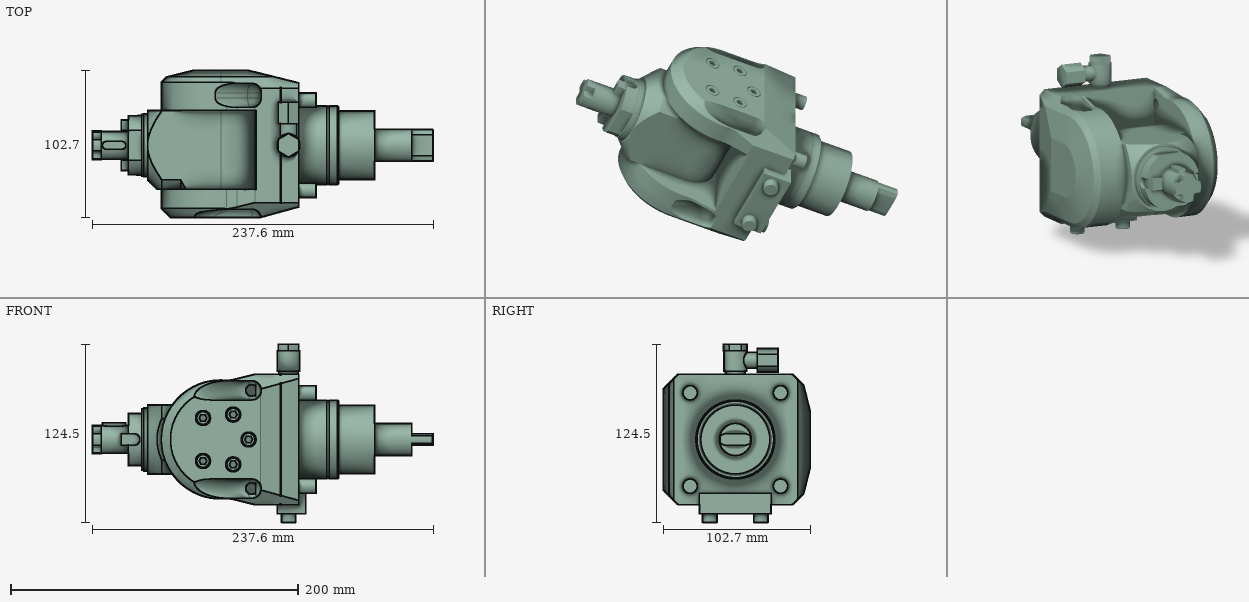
import cadquery as cq
import math


disc_radius = 41.45
yoke_half_height = 45.5
flank_start = 3.7
flank_blend_end = 11.3
flank_end = 23.7
flank_slope = 0.25
flank_blend_radius = 23.0
yoke_end = 54.5
front_face = -50.35
cap_face = 52.35
edge_chamfer_reach = 85.4
cap_flat_half_width = 19.0
cap_slope = 0.25
front_flat_end = 27.4
front_face_at_end = -42.9
pocket_front = -30.7
pocket_back = 24.4
pocket_end = 24.4
seam_x = 41.7
seam_width = 0.6
seam_depth = 0.4

channel_slope = 0.5
channel_radius = 6.7
channel_end_x = 21.5
channel_depth_centre = 36.1
front_channel_z = 34.2
top_channel_y = 34.8
top_channel_spread = 3.4
channel_reach = 90.0

screw_circle_radius = 19.4
screw_angles = (0, 63.5, 129.5, -129.5, -63.5)
screw_recess_radius = 5.2
screw_recess_depth = 1.0
screw_head_radius = 4.4
screw_hex_size = 5.5
screw_hex_depth = 2.5

housing_half_height = 24.1
nose_x = -51.0
turned_radius = 34.0
turned_end = -28.0
turned_flare = (-23.0, 40.5)
housing_full_radius = 60.0

collar_start = -55.1
collar_radius = 22.0
collar_lip_radius = 21.6
collar_lip_end = -53.5
flange_start = -64.4
flange_radius = 21.0
flange_half_height = 18.2
drive_key_start = -69.5
drive_key_end = -56.3
drive_key_width = 8.0
drive_key_inner = 10.2
drive_key_outer = 17.7
shaft_radius = 9.75
head_start = -89.5
head_end = -83.3
head_radius = 10.0
cross_width = 7.8
cross_fillet = 1.4
shaft_key_start = -82.5
shaft_key_end = -66.1
shaft_key_width = 5.4
shaft_key_top = 11.7

pilot_radius = 27.5
pilot_end = 82.1
pilot_chamfer = 0.8
ring_groove_start = 74.0
ring_groove_width = 1.7
ring_groove_depth = 0.4
journal_radius = 24.0
journal_end = 107.3
drive_radius = 11.2
drive_end = 133.1
tang_end = 148.05
tang_half_thickness = 4.0
tang_edge_half_thickness = 2.6
tang_flat_half_width = 7.4
tang_tip_chamfer = 0.6

bolt_radius = 5.0
bolt_y = 31.5
bolt_z = 32.5
bolt_length = 12.0
plate_start = 39.3
plate_end = 59.4
plate_half_width = 25.0
plate_bottom = -51.9
plate_lip_top = -37.5
plate_screw_x = 47.3
plate_screw_y = 17.8
plate_screw_radius = 5.1
plate_screw_bottom = -58.0
plate_screw_chamfer = 0.5
fitting_x = 47.2
fitting_neck_radius = 6.9
fitting_neck_top = 47.6
fitting_radius = 8.0
fitting_body_top = 61.8
fitting_top = 66.5
hex_across_corners = 16.6
branch_z = 55.2
branch_radius = 5.6
branch_hex_start = 15.1
branch_hex_end = 29.9


def bar_x(radius, start, end):
    """Round bar along X between two X positions."""
    return cq.Workplane("YZ").workplane(offset=start).circle(radius).extrude(end - start)


def box_between(x_range, y_range, z_range):
    """Box given by its lowest and highest X, Y and Z."""
    low, high = zip(x_range, y_range, z_range)
    return cq.Workplane(cq.Solid.makeBox(*[b - a for a, b in zip(low, high)], pnt=cq.Vector(*low)))


def arm_outline():
    """Side outline of the arms, a disc running into rising flanks, extruded over the full width."""
    start_z = math.sqrt(disc_radius**2 - flank_start**2)
    blend_z = yoke_half_height - flank_slope * (flank_end - flank_blend_end)
    return (
        cq.Workplane("XZ", origin=(0, cap_face, 0))
        .moveTo(flank_start, -start_z)
        .threePointArc((-disc_radius, 0), (flank_start, start_z))
        .radiusArc((flank_blend_end, blend_z), -flank_blend_radius)
        .lineTo(flank_end, yoke_half_height)
        .lineTo(yoke_end, yoke_half_height)
        .lineTo(yoke_end, -yoke_half_height)
        .lineTo(flank_end, -yoke_half_height)
        .lineTo(flank_blend_end, -blend_z)
        .radiusArc((flank_start, -start_z), -flank_blend_radius)
        .close()
        .extrude(cap_face - front_face)
    )


def edge_chamfer_envelope():
    """Double cone about Y joined to a diamond bar along X: leaves 45 degree outer edges."""
    reach = edge_chamfer_reach
    half_diamond = cq.Workplane("XY").polyline([(0, -reach), (reach, 0), (0, reach)]).close()
    double_cone = half_diamond.revolve(360, (0, 0, 0), (0, 1, 0))
    diamond_bar = (
        cq.Workplane("YZ")
        .polyline([(-reach, 0), (0, -reach), (reach, 0), (0, reach)])
        .close()
        .extrude(yoke_end)
    )
    return double_cone.union(diamond_bar)


def cap_envelope():
    """Dome of the +Y arm: shallow cone about Y on the disc, ridge along X towards the plate."""
    rim = 2 * yoke_end
    rim_y = cap_face - cap_slope * (rim - cap_flat_half_width)
    half_section = [
        (0, front_face),
        (rim, front_face),
        (rim, rim_y),
        (cap_flat_half_width, cap_face),
        (0, cap_face),
    ]
    cone = cq.Workplane("XY").polyline(half_section).close().revolve(360, (0, 0, 0), (0, 1, 0))
    upper_ridge = cq.Workplane("YZ").polyline([(y, z) for z, y in half_section]).close().extrude(yoke_end)
    return cone.union(upper_ridge).union(upper_ridge.mirror("XY"))


def sloped_face_cut(start_x, face_y, end_y):
    """Wedge that slopes an outer arm face inwards from start_x to end_y at the plate end."""
    return (
        cq.Workplane("XY", origin=(0, 0, -yoke_half_height))
        .polyline([(start_x, face_y), (yoke_end, end_y), (yoke_end, face_y)])
        .close()
        .extrude(2 * yoke_half_height)
    )


def seam_groove():
    """Fine groove along the plate joint in the -Y face, the top and the bottom."""
    seam = (seam_x - seam_width / 2, seam_x + seam_width / 2)
    fall_share = (seam_x - front_flat_end) / (yoke_end - front_flat_end)
    face_at_seam = front_face + fall_share * (front_face_at_end - front_face)
    floor_z = yoke_half_height - seam_depth
    around = box_between(seam, (front_face, cap_face), (-yoke_half_height, yoke_half_height))
    core = box_between(seam, (face_at_seam + seam_depth, cap_face), (-floor_z, floor_z))
    return around.cut(core)


def access_channel(centre_y, spread):
    """Ball-ended channel opening towards +Z and rising towards -X, widened in Y by `spread`."""
    radius = channel_radius
    end_x = channel_end_x
    end_z = channel_depth_centre
    slant = math.hypot(1, channel_slope)
    sides = (centre_y - spread / 2, centre_y + spread / 2)

    def side_plane(y):
        return cq.Workplane("XZ", origin=(0, y, 0))

    rising_end = (end_x - channel_reach, end_z + channel_slope * channel_reach)
    upper_end = (end_x, end_z + channel_reach)
    channel = (
        side_plane(sides[1] + radius)
        .polyline([(end_x, end_z), rising_end, upper_end])
        .close()
        .extrude(spread + 2 * radius)
    )
    for y in sides:
        end = cq.Vector(end_x, y, end_z)
        direction = cq.Vector(-1, 0, channel_slope)
        rising_bar = cq.Solid.makeCylinder(radius, slant * channel_reach, end, direction)
        upright_bar = cq.Solid.makeCylinder(radius, channel_reach, end)
        ball = cq.Workplane("XY", origin=end.toTuple()).sphere(radius)
        channel = channel.union(cq.Workplane(rising_bar)).union(cq.Workplane(upright_bar)).union(ball)
    if spread > 0:
        drop_x = -radius * channel_slope / slant
        drop_z = -radius / slant
        floor_points = [
            (end_x, end_z),
            (end_x + drop_x, end_z + drop_z),
            (rising_end[0] + drop_x, rising_end[1] + drop_z),
            upper_end,
            (end_x + radius, upper_end[1]),
            (end_x + radius, end_z),
        ]
        flat_floor = side_plane(sides[1]).polyline(floor_points).close().extrude(spread)
        round_end = side_plane(sides[1]).center(end_x, end_z).circle(radius).extrude(spread)
        channel = channel.union(flat_floor).union(round_end)
    return channel


def arm_screw(angle):
    """Recess ring and hexagon socket of one screw in the -Y face."""
    x = screw_circle_radius * math.cos(math.radians(angle))
    z = screw_circle_radius * math.sin(math.radians(angle))
    face = cq.Workplane("XZ", origin=(x, front_face, z))
    ring = face.circle(screw_recess_radius).circle(screw_head_radius).extrude(-screw_recess_depth)
    socket = face.polygon(6, screw_hex_size).extrude(-screw_hex_depth)
    return ring.union(socket)


def make_yoke():
    yoke = arm_outline().intersect(edge_chamfer_envelope()).intersect(cap_envelope())
    cap_face_at_end = cap_face - cap_slope * (yoke_end - cap_flat_half_width)
    yoke = yoke.cut(sloped_face_cut(front_flat_end, front_face, front_face_at_end))
    yoke = yoke.cut(sloped_face_cut(cap_flat_half_width, cap_face, cap_face_at_end))
    yoke = yoke.cut(seam_groove())
    yoke = yoke.cut(box_between(
        (-disc_radius, pocket_end), (pocket_front, pocket_back), (-yoke_half_height, yoke_half_height)
    ))
    top_channel = access_channel(top_channel_y, top_channel_spread)
    front_channel = access_channel(-front_channel_z, 0).rotate((0, 0, 0), (1, 0, 0), 90)
    for channel in (top_channel, front_channel):
        yoke = yoke.cut(channel).cut(channel.mirror("XY"))
    for angle in screw_angles:
        yoke = yoke.cut(arm_screw(angle))
    return yoke


def make_housing():
    """Spindle housing filling the pocket, round about the swivel axis and turned at the nose."""
    profile = (
        cq.Workplane("XZ", origin=(0, pocket_back, 0))
        .moveTo(nose_x, -housing_half_height)
        .lineTo(0, -housing_half_height)
        .threePointArc((housing_half_height, 0), (0, housing_half_height))
        .lineTo(nose_x, housing_half_height)
        .close()
        .extrude(pocket_back - pocket_front)
    )
    cone_end = nose_x + turned_radius - housing_half_height
    turned = (
        cq.Workplane("XY")
        .polyline([
            (nose_x, 0),
            (nose_x, housing_half_height),
            (cone_end, turned_radius),
            (turned_end, turned_radius),
            turned_flare,
            (turned_flare[0], housing_full_radius),
            (housing_half_height, housing_full_radius),
            (housing_half_height, 0),
        ])
        .close()
        .revolve(360, (0, 0, 0), (1, 0, 0))
    )
    return profile.intersect(turned)


def drive_key_slot():
    """Radial slot for a drive key on the +Y side of the flange, round at its inner end."""
    radius = drive_key_width / 2
    centre_x = drive_key_end - radius
    plan = cq.Workplane("XZ", origin=(0, flange_radius, 0))
    straight = plan.moveTo(drive_key_start, -radius).lineTo(centre_x, -radius)
    rounded = straight.threePointArc((drive_key_end, 0), (centre_x, radius))
    return rounded.lineTo(drive_key_start, radius).close().extrude(flange_radius - drive_key_inner)


def make_output_end():
    """Stepped collar, flange with two drive keys, and keyed shaft with a cross-shaped head."""
    collar = bar_x(collar_radius, collar_lip_end, nose_x)
    collar = collar.union(bar_x(collar_lip_radius, collar_start, collar_lip_end))
    flats = box_between(
        (flange_start, collar_start), (-flange_radius, flange_radius),
        (-flange_half_height, flange_half_height),
    )
    flange = bar_x(flange_radius, flange_start, collar_start).intersect(flats)
    slot = drive_key_slot()
    key = slot.intersect(box_between(
        (drive_key_start, drive_key_end), (drive_key_inner, drive_key_outer),
        (-drive_key_width, drive_key_width),
    ))
    for cutter, drive_key in ((slot, key), (slot.mirror("XZ"), key.mirror("XZ"))):
        flange = flange.cut(cutter).union(drive_key)

    shaft = bar_x(shaft_radius, head_end, flange_start)
    shaft_key = (
        cq.Workplane("XY", origin=((shaft_key_start + shaft_key_end) / 2, 0, 0))
        .slot2D(shaft_key_end - shaft_key_start, shaft_key_width)
        .extrude(shaft_key_top)
    )
    cross = cq.Workplane("YZ").workplane(offset=head_start).rect(4 * head_radius, cross_width)
    cross = cross.extrude(head_end - head_start)
    cross = cross.union(cross.rotate((0, 0, 0), (1, 0, 0), 90)).edges("|X").fillet(cross_fillet)
    head = bar_x(head_radius, head_start, head_end).intersect(cross)
    return collar.union(flange).union(shaft).union(shaft_key).union(head)


def make_machine_end():
    """Pilot with a ring groove, journal and drive shaft with a flat tang."""
    pilot = bar_x(pilot_radius, yoke_end, pilot_end).faces(">X").chamfer(pilot_chamfer)
    groove_end = ring_groove_start + ring_groove_width
    groove = bar_x(pilot_radius, ring_groove_start, groove_end)
    groove = groove.cut(bar_x(pilot_radius - ring_groove_depth, ring_groove_start, groove_end))
    journal = bar_x(journal_radius, pilot_end, journal_end)
    drive = bar_x(drive_radius, journal_end, drive_end)
    tang_section = [
        (-drive_radius, -tang_edge_half_thickness),
        (-tang_flat_half_width, -tang_half_thickness),
        (tang_flat_half_width, -tang_half_thickness),
        (drive_radius, -tang_edge_half_thickness),
        (drive_radius, tang_edge_half_thickness),
        (tang_flat_half_width, tang_half_thickness),
        (-tang_flat_half_width, tang_half_thickness),
        (-drive_radius, tang_edge_half_thickness),
    ]
    tang = cq.Workplane("YZ").workplane(offset=drive_end).polyline(tang_section).close()
    tang = tang.extrude(tang_end - drive_end)
    rounding = bar_x(drive_radius, drive_end, tang_end).faces(">X").chamfer(tang_tip_chamfer)
    tang = tang.intersect(rounding)
    return pilot.cut(groove).union(journal).union(drive).union(tang)


def make_mounting_bolts():
    corners = [(y, z) for y in (-bolt_y, bolt_y) for z in (-bolt_z, bolt_z)]
    return cq.Workplane("YZ").workplane(offset=yoke_end).pushPoints(corners).circle(bolt_radius).extrude(bolt_length)


def make_locating_plate():
    """L-shaped plate under the yoke, held by two screws from below."""
    sides = (-plate_half_width, plate_half_width)
    plate = box_between((plate_start, plate_end), sides, (plate_bottom, -yoke_half_height))
    lip = box_between((yoke_end, plate_end), sides, (plate_bottom, plate_lip_top))
    screws = (
        cq.Workplane("XY", origin=(plate_screw_x, 0, plate_screw_bottom))
        .pushPoints([(0, -plate_screw_y), (0, plate_screw_y)])
        .circle(plate_screw_radius)
        .extrude(plate_bottom - plate_screw_bottom)
        .faces("<Z")
        .chamfer(plate_screw_chamfer)
    )
    return plate.union(lip).union(screws)


def make_coolant_fitting():
    """Upright elbow with hexagon top and a hexagon-ended branch towards +Y."""
    def upright(z):
        return cq.Workplane("XY", origin=(fitting_x, 0, z))

    neck = upright(yoke_half_height).circle(fitting_neck_radius).extrude(fitting_neck_top - yoke_half_height)
    body = upright(fitting_neck_top).circle(fitting_radius).extrude(fitting_body_top - fitting_neck_top)
    top = upright(fitting_body_top).transformed(rotate=(0, 0, 90)).polygon(6, hex_across_corners)
    top = top.extrude(fitting_top - fitting_body_top)

    branch_axis = cq.Workplane("XZ", origin=(fitting_x, 0, branch_z))
    branch = branch_axis.circle(branch_radius).extrude(-branch_hex_start)
    nut = branch_axis.workplane(offset=-branch_hex_start).transformed(rotate=(0, 0, 90))
    nut = nut.polygon(6, hex_across_corners).extrude(branch_hex_start - branch_hex_end)
    return neck.union(body).union(top).union(branch).union(nut)


result = make_yoke()
for component in (
    make_housing(),
    make_output_end(),
    make_machine_end(),
    make_mounting_bolts(),
    make_locating_plate(),
    make_coolant_fitting(),
):
    result = result.union(component)